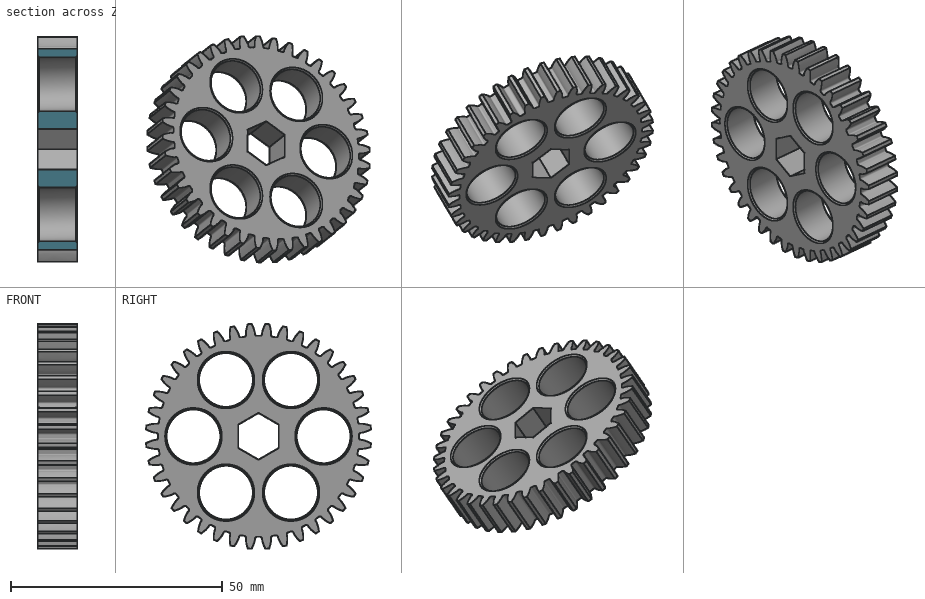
import cadquery as cq
import math

face_width = 9.4
outer_size = 53.25
tooth_count = 40
pressure_angle = math.radians(17)
tip_gap_width = 3.25
root_radius = 23.8
root_fillet = 0.4

hex_across_flats = 9.55
hole_count = 6
hole_diameter = 12.65
hole_circle_radius = 15.4
hole_chamfer = 0.4

tip_radius = math.hypot(outer_size / 2, tip_gap_width / 2)
tip_gap_half_angle = math.atan2(tip_gap_width, outer_size)
pitch_radius = tip_radius * tooth_count / (tooth_count + 2)
base_radius = pitch_radius * math.cos(pressure_angle)
tooth_angle = 2 * math.pi / tooth_count
tip_clearance = 0.55
flank_points = 6


def near_face():
    """Sketch plane on the -X face of the gear, with its normal along +X."""
    return cq.Workplane("YZ", origin=(-face_width / 2, 0, 0))


def polar(radius, angle):
    return (radius * math.cos(angle), radius * math.sin(angle))


def involute_angle(radius):
    """Angle swept by the involute between the base circle and the given radius."""
    pressure = math.acos(base_radius / radius)
    return math.tan(pressure) - pressure


def gap_half_angle(radius):
    """Half angle of a tooth gap on the involute part of the flanks."""
    return tip_gap_half_angle - involute_angle(tip_radius) + involute_angle(radius)


def tooth_gap():
    """Cutter for one gap: involute flanks, radial below the base circle, filleted root."""
    base_half_angle = gap_half_angle(base_radius)
    tip_roll = math.sqrt((tip_radius / base_radius) ** 2 - 1)
    rolls = [tip_roll * i / (flank_points - 1) for i in range(flank_points)]
    radii = [base_radius * math.hypot(1, roll) for roll in rolls]
    lower_flank = [polar(r, -gap_half_angle(r)) for r in reversed(radii)]
    upper_flank = [polar(r, gap_half_angle(r)) for r in radii]
    clearance_radius = tip_radius + tip_clearance
    return (
        near_face()
        .moveTo(*polar(clearance_radius, -tip_gap_half_angle))
        .lineTo(*lower_flank[0])
        .spline(lower_flank[1:], includeCurrent=True)
        .lineTo(*polar(root_radius, -base_half_angle))
        .threePointArc((root_radius, 0), polar(root_radius, base_half_angle))
        .lineTo(*upper_flank[0])
        .spline(upper_flank[1:], includeCurrent=True)
        .lineTo(*polar(clearance_radius, tip_gap_half_angle))
        .close()
        .extrude(face_width)
        .faces(cq.selectors.NearestToPointSelector((0, root_radius, 0)))
        .edges("|X")
        .fillet(root_fillet)
    )


def toothed_disc():
    disc = near_face().circle(tip_radius).extrude(face_width)
    gap = tooth_gap().val()
    axis_start = cq.Vector(0, 0, 0)
    axis_end = cq.Vector(1, 0, 0)
    gaps = [
        gap.rotate(axis_start, axis_end, math.degrees(i * tooth_angle))
        for i in range(tooth_count)
    ]
    return cq.Workplane(disc.val().cut(*gaps))


def hex_bore():
    """Hexagonal bore with flats facing +Y and -Y and corners on the Z axis."""
    across_corners = hex_across_flats / math.cos(math.pi / 6)
    corner_turn = 30
    return (
        near_face()
        .transformed(rotate=(0, 0, corner_turn))
        .polygon(6, across_corners)
        .extrude(face_width)
    )


def web_holes():
    """Ring of round holes, chamfered at both faces."""
    chamfer_diameter = hole_diameter + 2 * hole_chamfer
    holes = (
        near_face()
        .polarArray(hole_circle_radius, 0, 360, hole_count)
        .circle(hole_diameter / 2)
        .extrude(face_width)
    )
    for side in (-1, 1):
        countersinks = (
            cq.Workplane("YZ", origin=(side * face_width / 2, 0, 0))
            .polarArray(hole_circle_radius, 0, 360, hole_count)
            .circle(chamfer_diameter / 2)
            .extrude(-side * hole_chamfer, taper=45)
        )
        holes = holes.union(countersinks)
    return holes


result = toothed_disc().cut(hex_bore()).cut(web_holes())